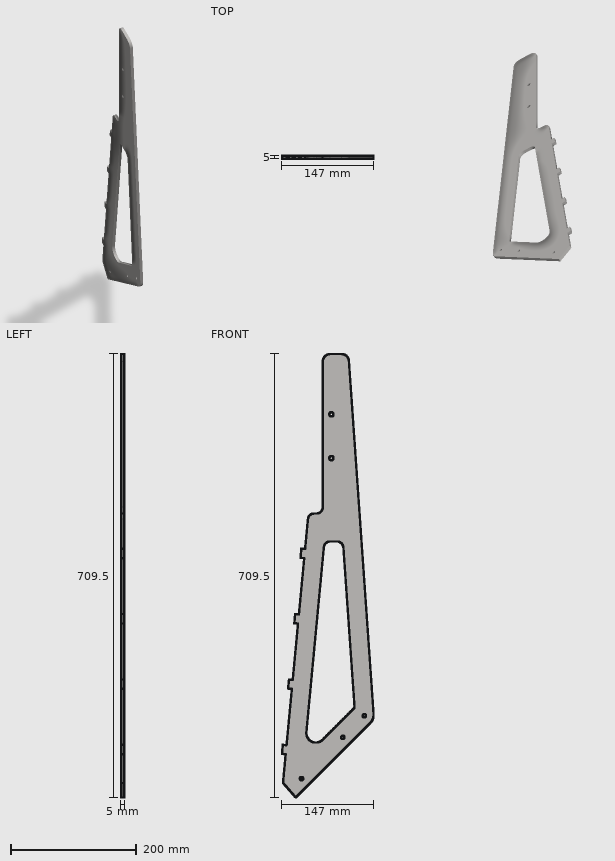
import cadquery as cq
import math

thickness = 5.0
height = 709.5

right_edge_lean = 4.0
left_edge_lean = 5.4
bottom_edge_slope = 45.0
heel_slope = 131.0
neck_left_x = 43.0
top_right_x = 84.35
left_edge_base_x = -22.9
shoulder_z = 454.5
shoulder_radius = 10.0
knee_radius = 20.0
top_corner_radius = 12.0

side_rail_width = 30.0
bottom_rail_width = 35.3
shoulder_to_window = 45.0
window_corner_radius = 10.0
window_knee_radius = 5.0
window_toe_radius = 15.0

tab_count = 4
tab_length = 15.0
tab_depth = 6.0
tab_pitch = 105.0
first_tab_distance = 77.0

neck_hole_diameter = 6.5
neck_hole_inset = 14.0
neck_hole_heights = [543.0, 613.0]
rail_hole_diameter = 5.0
rail_hole_inset = 15.0
rail_hole_distances = [28.0, 121.5, 170.0]


def direction(angle):
    """Unit vector at an angle in degrees above +X."""
    return (math.cos(math.radians(angle)), math.sin(math.radians(angle)))


def along(line, distance, offset=0.0):
    """Point at a distance along a line and an offset to its left."""
    (x, z), angle = line
    ux, uz = direction(angle)
    return (x + distance * ux - offset * uz, z + distance * uz + offset * ux)


def shifted(line, offset):
    """Parallel line, moved to its left by the offset."""
    return (along(line, 0.0, offset), line[1])


def crossing(first, second):
    """Point where two lines meet."""
    (x1, z1), (x2, z2) = first[0], second[0]
    ux, uz = direction(first[1])
    vx, vz = direction(second[1])
    distance = ((x2 - x1) * vz - (z2 - z1) * vx) / (ux * vz - uz * vx)
    return along(first, distance)


def rounded_plate(corners):
    """Extrude a closed outline of (point, radius) corners; radius 0 stays sharp."""
    outline = None
    for i, (corner, radius) in enumerate(corners):
        here = cq.Vector(*corner)
        to_previous = (cq.Vector(*corners[i - 1][0]) - here).normalized()
        to_next = (cq.Vector(*corners[(i + 1) % len(corners)][0]) - here).normalized()
        half_angle = to_previous.getAngle(to_next) / 2
        setback = radius / math.tan(half_angle)
        centre_distance = radius / math.sin(half_angle)
        start = here + to_previous * setback
        middle = here + (to_previous + to_next).normalized() * (centre_distance - radius)
        end = here + to_next * setback
        if outline is None:
            outline = cq.Workplane("XZ").moveTo(start.x, start.y)
        else:
            outline = outline.lineTo(start.x, start.y)
        if radius > 0:
            outline = outline.threePointArc((middle.x, middle.y), (end.x, end.y))
    return outline.close().extrude(-thickness)


tip = (0.0, 0.0)
bottom_edge = (tip, bottom_edge_slope)
heel_edge = (tip, heel_slope)
right_edge = ((top_right_x, height), 90.0 + right_edge_lean)
left_edge = ((left_edge_base_x, 0.0), 90.0 - left_edge_lean)
shoulder_edge = ((neck_left_x, shoulder_z), 0.0)


def make_plate():
    return rounded_plate([
        (tip, 0.0),
        (crossing(bottom_edge, right_edge), knee_radius),
        ((top_right_x, height), top_corner_radius),
        ((neck_left_x, height), top_corner_radius),
        ((neck_left_x, shoulder_z), shoulder_radius),
        (crossing(left_edge, shoulder_edge), shoulder_radius),
        (crossing(left_edge, heel_edge), 0.0),
    ])


def make_window():
    left = shifted(left_edge, -side_rail_width)
    right = shifted(right_edge, side_rail_width)
    bottom = shifted(bottom_edge, bottom_rail_width)
    top = shifted(shoulder_edge, -shoulder_to_window)
    return rounded_plate([
        (crossing(left, bottom), window_toe_radius),
        (crossing(bottom, right), window_knee_radius),
        (crossing(right, top), window_corner_radius),
        (crossing(top, left), window_corner_radius),
    ])


def make_tab(centre_distance):
    """Rectangular tab square to the left edge; its root is sunk into the plate."""
    low = centre_distance - tab_length / 2
    high = centre_distance + tab_length / 2
    corners = [
        along(left_edge, low, -tab_depth),
        along(left_edge, high, -tab_depth),
        along(left_edge, high, tab_depth),
        along(left_edge, low, tab_depth),
    ]
    return rounded_plate([(corner, 0.0) for corner in corners])


def make_holes(centres, diameter):
    return cq.Workplane("XZ").pushPoints(centres).circle(diameter / 2).extrude(-thickness)


neck_hole_centres = [(neck_left_x + neck_hole_inset, z) for z in neck_hole_heights]
rail_hole_centres = [along(bottom_edge, d, rail_hole_inset) for d in rail_hole_distances]

result = make_plate()
for tab_index in range(tab_count):
    result = result.union(make_tab(first_tab_distance + tab_index * tab_pitch))
result = result.cut(make_window())
result = result.cut(make_holes(neck_hole_centres, neck_hole_diameter))
result = result.cut(make_holes(rail_hole_centres, rail_hole_diameter))